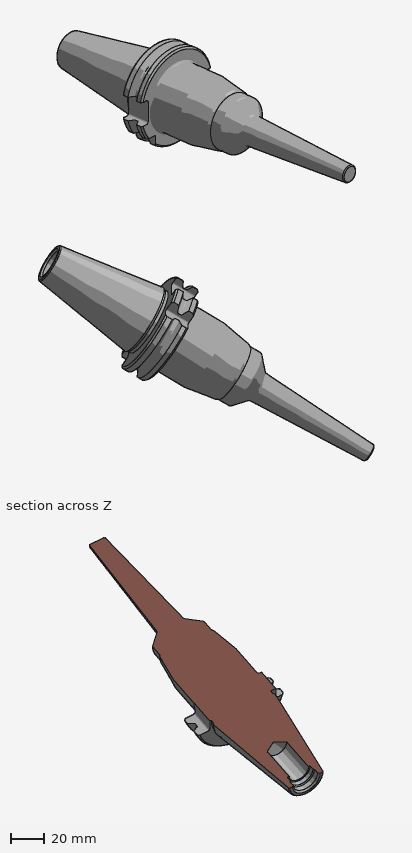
import cadquery as cq
import math


total_length = 228.2
taper_length = 67.5
taper_large_radius = 22.23
taper_small_radius = taper_large_radius - taper_length * 7 / 48
taper_end_chamfer = 0.7

relief_start = 69.0
relief_radius = 21.5

flange_start = 71.0
flange_end = 87.0
flange_radius = 31.77
flange_chamfer = 1.1

groove_center = 79.2
groove_depth = 3.7
groove_floor_width = 2.7
groove_flank_angle = 30
groove_floor_fillet = 0.7
groove_flank_run = groove_depth * math.tan(math.radians(groove_flank_angle))

slot_width = 16.1
slot_floor_front = 25.0
slot_floor_back = 22.45
slot_corner_radius = 1.5
notch_offset = 18.5
notch_corner_radius = 1.1

body_radius = 22.55
body_root_fillet = 1.4
body_end = 110.7
body_taper_end = 129.9
body_taper_radius = 19.5
collar_start = 131.7
collar_end = 139.7
collar_radius = 18.5
collar_edge_fillet = 1.4
shoulder_end = 148.1
nose_root_radius = 9.5
nose_root_fillet = 1.8
nose_tip_radius = 5.7
nose_tip_chamfer = 0.7

bore_mouth_radius = 9.8
bore_mouth_depth = 1.1
counterbore_radius = 8.7
counterbore_depth = 4.5
thread_radius = 8.0
thread_start = 5.2
thread_end = 8.2
thread_core_radius = 6.8
bore_depth = 32.0
drill_point_angle = 118


def revolve_profile(points):
    """Revolve a closed outline of (x, radius) points about the X axis."""
    return cq.Workplane("XY").polyline(points).close().revolve(360, (0, 0, 0), (1, 0, 0))


def edge_at(x, radius):
    """Selector for the circular edge of this radius at this place along the axis."""
    margin = 0.11
    reach = radius + margin
    return cq.selectors.BoxSelector(
        (x - margin, -reach, -reach), (x + margin, reach, reach), boundingbox=True
    )


def make_shank_and_flange():
    return revolve_profile([
        (0, 0),
        (0, taper_small_radius - taper_end_chamfer),
        (taper_end_chamfer, taper_small_radius),
        (taper_length, taper_large_radius),
        (relief_start, relief_radius),
        (flange_start, relief_radius),
        (flange_start, flange_radius - flange_chamfer),
        (flange_start + flange_chamfer, flange_radius),
        (flange_end - flange_chamfer, flange_radius),
        (flange_end, flange_radius - flange_chamfer),
        (flange_end, 0),
    ])


def make_gripper_groove():
    half_floor = groove_floor_width / 2
    half_mouth = half_floor + groove_flank_run
    floor_radius = flange_radius - groove_depth
    cutter = revolve_profile([
        (groove_center - half_mouth, flange_radius),
        (groove_center - half_floor, floor_radius),
        (groove_center + half_floor, floor_radius),
        (groove_center + half_mouth, flange_radius),
    ])
    for floor_edge in (groove_center - half_floor, groove_center + half_floor):
        cutter = cutter.edges(edge_at(floor_edge, floor_radius)).fillet(groove_floor_fillet)
    return cutter


def make_flange_block(width_y, width_z):
    """A box spanning the flange and its root fillet, with one edge on the X axis, filling +Y and +Z."""
    length = flange_end + body_root_fillet - flange_start
    block = cq.Workplane("XY").box(length, width_y, width_z, centered=False)
    return block.translate((flange_start, 0, 0))


def make_drive_slots():
    block = make_flange_block(flange_radius, slot_width).translate((0, 0, -slot_width / 2))
    back = block.translate((0, slot_floor_back, 0)).edges("|X and <Y").fillet(slot_corner_radius)
    front = block.translate((0, -slot_floor_front - flange_radius, 0))
    return back.union(front.edges("|X and >Y").fillet(slot_corner_radius))


def make_orientation_notch():
    far_corner = -notch_offset - flange_radius
    block = make_flange_block(flange_radius, flange_radius).translate((0, far_corner, far_corner))
    return block.edges("|X and >Y and >Z").fillet(notch_corner_radius)


def make_body_and_nose():
    profile = revolve_profile([
        (flange_end, 0),
        (flange_end, body_radius),
        (body_end, body_radius),
        (body_taper_end, body_taper_radius),
        (collar_start, collar_radius),
        (collar_end, collar_radius),
        (shoulder_end, nose_root_radius),
        (total_length - nose_tip_chamfer, nose_tip_radius),
        (total_length, nose_tip_radius - nose_tip_chamfer),
        (total_length, 0),
    ])
    body = profile.edges(edge_at(collar_end, collar_radius)).fillet(collar_edge_fillet)
    return body.edges(edge_at(shoulder_end, nose_root_radius)).fillet(nose_root_fillet)


def make_drawbar_bore():
    point_length = thread_core_radius / math.tan(math.radians(drill_point_angle / 2))
    return revolve_profile([
        (0, 0),
        (0, bore_mouth_radius),
        (bore_mouth_depth, counterbore_radius),
        (counterbore_depth, counterbore_radius),
        (thread_start, thread_radius),
        (thread_end, thread_radius),
        (thread_end, thread_core_radius),
        (bore_depth, thread_core_radius),
        (bore_depth + point_length, 0),
    ])


def make_body_root_fillet():
    """Concave ring that blends the body into the back face of the flange."""
    return (
        cq.Workplane("XY")
        .moveTo(flange_end, body_radius)
        .lineTo(flange_end, body_radius + body_root_fillet)
        .radiusArc((flange_end + body_root_fillet, body_radius), -body_root_fillet)
        .close()
        .revolve(360, (0, 0, 0), (1, 0, 0))
    )


result = (
    make_shank_and_flange()
    .cut(make_gripper_groove())
    .union(make_body_and_nose())
    .union(make_body_root_fillet())
    .cut(make_drive_slots())
    .cut(make_orientation_notch())
    .cut(make_drawbar_bore())
)